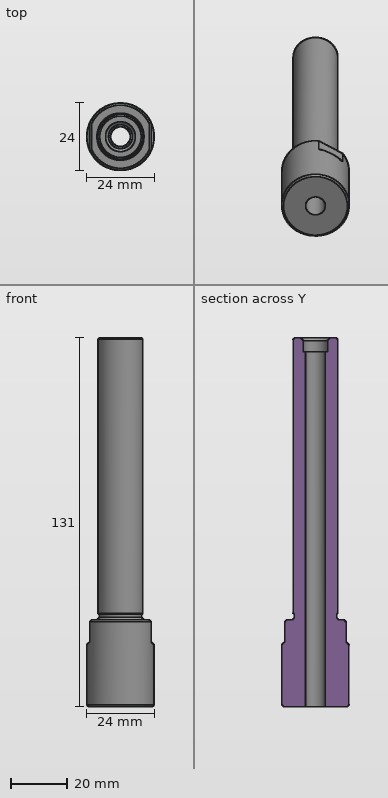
import cadquery as cq

total_length = 131.0
body_diameter = 24.0
body_height = 30.9
bottom_chamfer = 0.7
shoulder_chamfer = 0.8

shaft_diameter = 16.0
shaft_start = 33.1
shaft_end_chamfer = 0.7
neck_diameter = 15.2
neck_flare = 0.8
neck_taper_length = 0.4

bore_diameter = 7.0
counterbore_diameter = 8.5
counterbore_depth = 5.0
counterbore_chamfer = 1.0

across_flats = 21.9
flat_bottom = 23.0

body_radius = body_diameter / 2
shaft_radius = shaft_diameter / 2
neck_radius = neck_diameter / 2
flat_distance = across_flats / 2


def make_body():
    """Cylindrical body with two wrench flats and chamfered ends."""
    body = cq.Workplane("XY").circle(body_radius).extrude(body_height)
    body = body.faces("<Z").edges().chamfer(bottom_chamfer)
    for side in (-1, 1):
        body = body.cut(make_flat_cutter(side))
    return body.faces(">Z").edges().chamfer(shoulder_chamfer)


def make_flat_cutter(side):
    """Cutter for one flat, with a floor falling outwards at 45 degrees."""
    reach = body_diameter - flat_distance
    return (
        cq.Workplane("XZ")
        .moveTo(side * flat_distance, body_height)
        .lineTo(side * flat_distance, flat_bottom)
        .lineTo(side * body_diameter, flat_bottom - reach)
        .lineTo(side * body_diameter, body_height)
        .close()
        .extrude(body_radius, both=True)
    )


def make_shaft():
    """Revolved shaft with a neck groove, tapered above and flared below, next to the body."""
    return (
        cq.Workplane("XZ")
        .moveTo(0, body_height)
        .lineTo(neck_radius + neck_flare, body_height)
        .lineTo(neck_radius, body_height + neck_flare)
        .lineTo(neck_radius, shaft_start - neck_taper_length)
        .lineTo(shaft_radius, shaft_start)
        .lineTo(shaft_radius, total_length - shaft_end_chamfer)
        .lineTo(shaft_radius - shaft_end_chamfer, total_length)
        .lineTo(0, total_length)
        .close()
        .revolve(360, (0, 0, 0), (0, 1, 0))
    )


def cut_bore(solid):
    """Through bore with a chamfered counterbore at the shaft end."""
    bore_radius = bore_diameter / 2
    counterbore_radius = counterbore_diameter / 2
    counterbore_floor = total_length - counterbore_depth
    bore = (
        cq.Workplane("XZ")
        .lineTo(bore_radius, 0)
        .lineTo(bore_radius, counterbore_floor)
        .lineTo(counterbore_radius, counterbore_floor)
        .lineTo(counterbore_radius, total_length - counterbore_chamfer)
        .lineTo(counterbore_radius + counterbore_chamfer, total_length)
        .lineTo(0, total_length)
        .close()
        .revolve(360, (0, 0, 0), (0, 1, 0))
    )
    return solid.cut(bore)


result = cut_bore(make_body().union(make_shaft()))